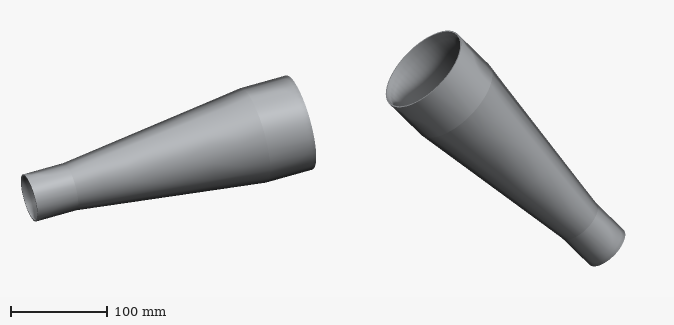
import cadquery as cq

total_length = 298.5
large_radius = 50.7
small_radius = large_radius / 2
wall = 1.5
small_length = 44.8
large_length = 50.7
cone_end = total_length - large_length


def reducer_solid(inset):
    """Small cylinder, cone and large cylinder, with radii reduced by inset."""
    small = small_radius - inset
    large = large_radius - inset
    return (
        cq.Workplane("XY")
        .moveTo(0, 0)
        .lineTo(small, 0)
        .lineTo(small, small_length)
        .lineTo(large, cone_end)
        .lineTo(large, total_length)
        .lineTo(0, total_length)
        .close()
        .revolve(360, (0, 0, 0), (0, 1, 0))
    )


result = reducer_solid(0).cut(reducer_solid(wall))